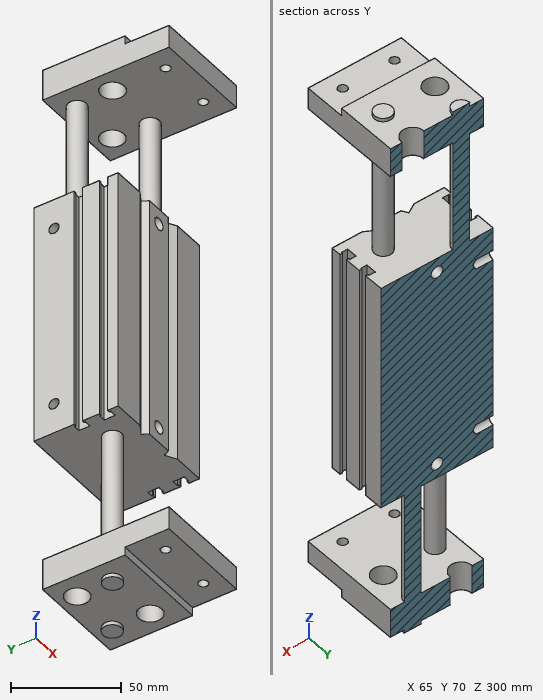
import cadquery as cq
import math

total_height = 300.0
total_depth = 70.0

body_width = 65.0
body_depth = 46.0
body_height = 133.0

slot_distances = (24.2, 38.0)
slot_mouth = 4.5
slot_inner_width = 6.0
slot_depth = 5.0
slot_lip = 1.5

groove_outer_x = 15.0
groove_inner_x = 7.5
groove_outer_angle = 30.0
groove_outer_length = (groove_outer_x - groove_inner_x) * math.cos(math.radians(groove_outer_angle))
groove_depth = groove_outer_length * math.sin(math.radians(groove_outer_angle))
groove_bottom_x = groove_outer_x - groove_outer_length * math.cos(math.radians(groove_outer_angle))

front_hole_diameter = 6.5
front_hole_spacing = 116.0
side_hole_diameter = 5.5
side_hole_spacing = 100.0
side_hole_depth = 10.0
drill_point_angle = 118.0

rod_diameter = 10.0
rod_protrusion = 2.0
back_rod_x = -14.0
back_rod_distance = 11.0
front_rod_x = 15.0
front_rod_distance = 31.0

plate_width = 54.0
plate_back_gap = 1.0
plate_thickness = 17.0
step_distance = 46.0
step_height = 4.5
clearance_diameter = 12.5
mount_hole_diameter = 5.0
mount_hole_spacing = 30.0
mount_hole_distance = 60.0

plate_outer_z = total_height / 2 - rod_protrusion
plate_inner_z = plate_outer_z - plate_thickness


def cylinder(x, y, diameter, bottom_z, top_z):
    """Upright cylinder between two heights."""
    disc = cq.Workplane("XY", origin=(x, y, bottom_z)).circle(diameter / 2)
    return disc.extrude(top_z - bottom_z)


def body_block(width, depth, x, y):
    """Block over the full body height, centred on X and Y."""
    return cq.Workplane("XY").box(width, depth, body_height).translate((x, y, 0))


def side_slot(side, y):
    """T-shaped slot on the +X (side = 1) or -X (side = -1) face of the body."""
    face_x = body_width / 2
    pocket_width = slot_depth - slot_lip
    mouth = body_block(slot_depth, slot_mouth, side * (face_x - slot_depth / 2), y)
    pocket_x = side * (face_x - slot_depth + pocket_width / 2)
    return mouth.union(body_block(pocket_width, slot_inner_width, pocket_x, y))


def front_groove(side):
    """V-groove in the front face of the body, on the +X or -X side of its middle."""
    outline = [
        (side * groove_outer_x, -body_depth),
        (side * groove_bottom_x, groove_depth - body_depth),
        (side * groove_inner_x, -body_depth),
    ]
    profile = cq.Workplane("XY", origin=(0, 0, -body_height / 2)).polyline(outline).close()
    return profile.extrude(body_height)


def front_hole(z):
    """Hole running through the body from front to back."""
    circle = cq.Workplane("XZ", origin=(0, 0, z)).circle(front_hole_diameter / 2)
    return circle.extrude(body_depth)


def side_hole(z):
    """Blind hole with a drill point, entering the body from its -X face."""
    radius = side_hole_diameter / 2
    point_length = radius / math.tan(math.radians(drill_point_angle / 2))
    half_section = [
        (0, 0),
        (0, radius),
        (side_hole_depth, radius),
        (side_hole_depth + point_length, 0),
    ]
    profile = cq.Workplane("XY", origin=(-body_width / 2, -back_rod_distance, z))
    return profile.polyline(half_section).close().revolve(360, (0, 0), (1, 0))


def make_body():
    body = body_block(body_width, body_depth, 0, -body_depth / 2)
    for side in (-1, 1):
        body = body.cut(front_groove(side))
        for distance in slot_distances:
            body = body.cut(side_slot(side, -distance))
    for direction in (-1, 1):
        body = body.cut(front_hole(direction * front_hole_spacing / 2))
        body = body.cut(side_hole(direction * side_hole_spacing / 2))
    return body


def make_plate():
    """Upper end plate; the outer face is lower in front of the step."""
    outline = [
        (-plate_back_gap, plate_inner_z),
        (-total_depth, plate_inner_z),
        (-total_depth, plate_outer_z - step_height),
        (-step_distance, plate_outer_z - step_height),
        (-step_distance, plate_outer_z),
        (-plate_back_gap, plate_outer_z),
    ]
    plate = cq.Workplane("YZ").polyline(outline).close().extrude(plate_width / 2, both=True)
    holes = [
        (-back_rod_x, -back_rod_distance, clearance_diameter),
        (-front_rod_x, -front_rod_distance, clearance_diameter),
        (-mount_hole_spacing / 2, -mount_hole_distance, mount_hole_diameter),
        (mount_hole_spacing / 2, -mount_hole_distance, mount_hole_diameter),
    ]
    for x, y, diameter in holes:
        plate = plate.cut(cylinder(x, y, diameter, plate_inner_z, plate_outer_z))
    return plate


def make_upper_end():
    """Upper end plate with the two rods that join it to the body."""
    end = make_plate()
    rods = [(back_rod_x, -back_rod_distance), (front_rod_x, -front_rod_distance)]
    for x, y in rods:
        end = end.union(cylinder(x, y, rod_diameter, body_height / 2, total_height / 2))
    return end


upper_end = make_upper_end()
lower_end = upper_end.rotate((0, 0, 0), (0, 1, 0), 180)
result = make_body().union(upper_end).union(lower_end)